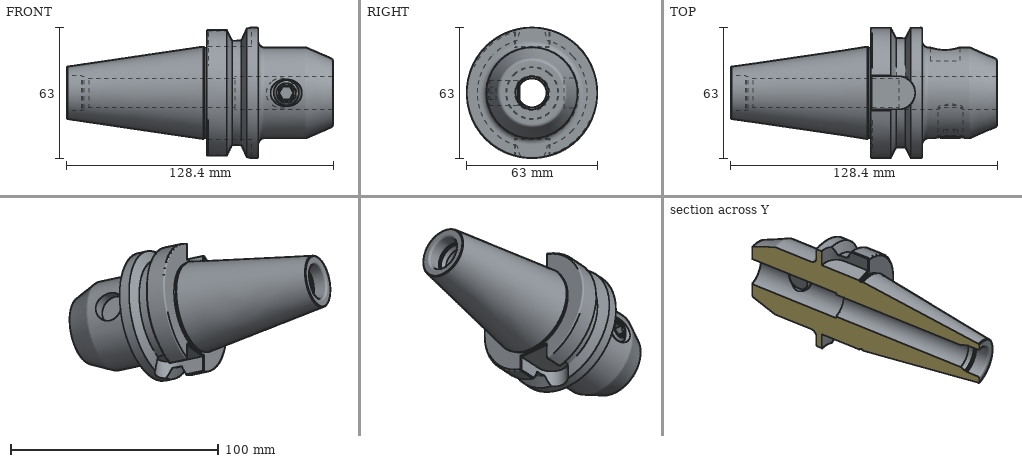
import cadquery as cq
import math


TAPER_END_RADIUS = 12.7
TAPER_BIG_RADIUS = 22.3
TAPER_LENGTH = 65.7
TAPER_EDGE_CHAMFER = 0.4

NECK_RADIUS = 21.8
NECK_SLOPE_LENGTH = 0.8

FLANGE_DIAMETER = 63.0
FLANGE_RADIUS = FLANGE_DIAMETER / 2
FLANGE_START = 67.4
FLANGE_END = 92.3
FLANGE_EDGE_ROUND = 0.8
GROOVE_CENTRE = 81.9
GROOVE_RADIUS = 26.5
GROOVE_HALF_MOUTH = 4.9
GROOVE_HALF_FLOOR = 2.3
GROOVE_CORNER_ROUND = 0.4

SLOT_WIDTH = 16.0
SLOT_FLOOR = 22.5
SLOT_END = 88.9
SLOT_CHAMFER = 0.5

NOSE_RADIUS = 22.0
NOSE_END = 128.4
NOSE_FILLET = 3.0
NOSE_CONE_START = 115.3
NOSE_CONE_ANGLE = 23.4
NOSE_EDGE_ROUND = 1.8

PILOT_RADIUS = 8.5
PILOT_DEPTH = 6.9
PILOT_MOUTH_ROUND = 1.2
LAND_RADIUS = 8.1
LAND_START = 7.5
LAND_END = 8.2
FUNNEL_RADIUS = 7.6
FUNNEL_END = 9.5
CORE_RADIUS = 6.9
CORE_START = 10.5
SHANK_BORE_RADIUS = 8.0
SHANK_BORE_DEPTH = 47.5

SCREW_X = 105.8
SCREW_RADIUS = 6.0
SCREW_HEAD_Y = -21.8
SCREW_TIP_Y = -5.9
SCREW_HEAD_CHAMFER = 1.4
SCREW_TIP_CHAMFER = 1.0
COUNTERSINK_BOTTOM_Y = SCREW_HEAD_Y + SCREW_HEAD_CHAMFER
SOCKET_FLATS = 6.0
SOCKET_DEPTH = 4.4
SOCKET_MOUTH_RADIUS = 3.7

BALANCE_X = 103.2
BALANCE_RADIUS = 7.2
BALANCE_FLOOR_Y = 15.4

EDGE_MARGIN = 0.1


def turned(points):
    """Solid of revolution about the X axis from (x, radius) points."""
    return cq.Workplane("XZ").polyline(points).close().revolve(360, (0, 0, 0), (1, 0, 0))


def cone_x(start, start_radius, end, end_radius):
    """Cone along X, with the first radius at start and the second at end."""
    return turned([(start, 0), (start, start_radius), (end, end_radius), (end, 0)])


def cylinder_x(radius, start, end):
    return cone_x(start, radius, end, radius)


def cylinder_y(radius, x, start, end):
    """Cylinder along Y from start up to end."""
    return cq.Workplane("XZ", origin=(x, end, 0)).circle(radius).extrude(end - start)


def cone_y(x, start, start_radius, end, end_radius):
    """Cone along +Y, with the first radius at start and the second at end."""
    cone = cq.Solid.makeCone(
        start_radius, end_radius, end - start, cq.Vector(x, start, 0), cq.Vector(0, 1, 0)
    )
    return cq.Workplane(cone)


def circles_between(body, start, end):
    """Circular edges centred on the X axis, from start to end inclusive."""
    low = (start - EDGE_MARGIN, -EDGE_MARGIN, -EDGE_MARGIN)
    high = (end + EDGE_MARGIN, EDGE_MARGIN, EDGE_MARGIN)
    near_axis = cq.selectors.BoxSelector(low, high)
    return body.edges("%CIRCLE").edges(near_axis)


def make_shank():
    """Taper and relief neck, running up to the flange."""
    return turned(
        [
            (0, 0),
            (0, TAPER_END_RADIUS - TAPER_EDGE_CHAMFER),
            (TAPER_EDGE_CHAMFER, TAPER_END_RADIUS),
            (TAPER_LENGTH, TAPER_BIG_RADIUS),
            (TAPER_LENGTH + NECK_SLOPE_LENGTH, NECK_RADIUS),
            (FLANGE_START, NECK_RADIUS),
            (FLANGE_START, 0),
        ]
    )


def make_drive_slot(side):
    """Cutter for a round-ended slot; side is +1 for +Z and -1 for -Z."""
    half = SLOT_WIDTH / 2
    return (
        cq.Workplane("XY", origin=(0, 0, side * SLOT_FLOOR))
        .moveTo(FLANGE_START, -half)
        .lineTo(SLOT_END - half, -half)
        .threePointArc((SLOT_END, 0), (SLOT_END - half, half))
        .lineTo(FLANGE_START, half)
        .close()
        .extrude(side * (FLANGE_RADIUS - SLOT_FLOOR))
    )


def make_flange():
    """Grooved flange with two drive slots whose entry edges are chamfered."""
    floor_start = GROOVE_CENTRE - GROOVE_HALF_FLOOR
    floor_end = GROOVE_CENTRE + GROOVE_HALF_FLOOR
    groove = turned(
        [
            (GROOVE_CENTRE - GROOVE_HALF_MOUTH, FLANGE_RADIUS),
            (floor_start, GROOVE_RADIUS),
            (floor_end, GROOVE_RADIUS),
            (GROOVE_CENTRE + GROOVE_HALF_MOUTH, FLANGE_RADIUS),
        ]
    )
    disc = cylinder_x(FLANGE_RADIUS, FLANGE_START, FLANGE_END)
    flange = disc.edges("%CIRCLE").fillet(FLANGE_EDGE_ROUND).cut(groove)
    flange = circles_between(flange, floor_start, floor_end).fillet(GROOVE_CORNER_ROUND)
    for side in (1, -1):
        flange = flange.cut(make_drive_slot(side))
    return flange.faces("<X").edges("%LINE").chamfer(SLOT_CHAMFER)


def make_nose():
    """Barrel, blended into a cone with a rounded end."""
    cone_length = NOSE_END - NOSE_CONE_START
    end_radius = NOSE_RADIUS - cone_length * math.tan(math.radians(NOSE_CONE_ANGLE))
    nose = turned(
        [
            (FLANGE_END, 0),
            (FLANGE_END, NOSE_RADIUS),
            (NOSE_CONE_START, NOSE_RADIUS),
            (NOSE_END, end_radius),
            (NOSE_END, 0),
        ]
    )
    return circles_between(nose, NOSE_CONE_START, NOSE_END).fillet(NOSE_EDGE_ROUND)


def make_nose_fillet():
    """Ring with a concave face between the flange and the barrel."""
    return (
        cq.Workplane("XZ")
        .moveTo(FLANGE_END, NOSE_RADIUS)
        .lineTo(FLANGE_END, NOSE_RADIUS + NOSE_FILLET)
        .radiusArc((FLANGE_END + NOSE_FILLET, NOSE_RADIUS), -NOSE_FILLET)
        .close()
        .revolve(360, (0, 0, 0), (1, 0, 0))
    )


def make_pilot_mouth():
    """Cutter that rounds the mouth of the pilot bore."""
    return (
        cq.Workplane("XZ")
        .lineTo(0, PILOT_RADIUS + PILOT_MOUTH_ROUND)
        .radiusArc((PILOT_MOUTH_ROUND, PILOT_RADIUS), -PILOT_MOUTH_ROUND)
        .lineTo(PILOT_MOUTH_ROUND, 0)
        .close()
        .revolve(360, (0, 0, 0), (1, 0, 0))
    )


def make_axial_bores():
    """Cutter for the bore that narrows in steps, runs through and widens in the nose."""
    shank_bore_start = NOSE_END - SHANK_BORE_DEPTH
    bore = turned(
        [
            (0, 0),
            (0, PILOT_RADIUS),
            (PILOT_DEPTH, PILOT_RADIUS),
            (LAND_START, LAND_RADIUS),
            (LAND_END, LAND_RADIUS),
            (FUNNEL_END, FUNNEL_RADIUS),
            (CORE_START, CORE_RADIUS),
            (shank_bore_start, CORE_RADIUS),
            (shank_bore_start, SHANK_BORE_RADIUS),
            (NOSE_END, SHANK_BORE_RADIUS),
            (NOSE_END, 0),
        ]
    )
    return bore.union(make_pilot_mouth())


def make_screw_hole():
    """Cutter for the countersunk cross hole, from the barrel surface to the axis."""
    hole = cylinder_y(SCREW_RADIUS, SCREW_X, -NOSE_RADIUS, 0)
    mouth_radius = SCREW_RADIUS + COUNTERSINK_BOTTOM_Y + NOSE_RADIUS
    countersink = cone_y(SCREW_X, -NOSE_RADIUS, mouth_radius, COUNTERSINK_BOTTOM_Y, SCREW_RADIUS)
    return hole.union(countersink)


def make_holder():
    holder = make_shank().union(make_flange()).union(make_nose()).union(make_nose_fillet())
    holder = holder.cut(make_axial_bores())
    holder = holder.cut(make_screw_hole())
    return holder.cut(cylinder_y(BALANCE_RADIUS, BALANCE_X, BALANCE_FLOOR_Y, NOSE_RADIUS))


def make_screw():
    """Set screw with a hexagon socket in its outer end and a flat tip."""
    body = cylinder_y(SCREW_RADIUS, SCREW_X, SCREW_HEAD_Y, SCREW_TIP_Y)
    body = body.faces("<Y").chamfer(SCREW_HEAD_CHAMFER)
    body = body.faces(">Y").chamfer(SCREW_TIP_CHAMFER)
    corner_diameter = SOCKET_FLATS / math.cos(math.pi / 6)
    socket = (
        cq.Workplane("XZ", origin=(SCREW_X, SCREW_HEAD_Y + SOCKET_DEPTH, 0))
        .polygon(6, corner_diameter)
        .extrude(SOCKET_DEPTH)
    )
    socket_mouth = cone_y(SCREW_X, SCREW_HEAD_Y, SOCKET_MOUTH_RADIUS, SCREW_HEAD_Y + SOCKET_MOUTH_RADIUS, 0)
    return body.cut(socket).cut(socket_mouth)


holder = make_holder()
screw = make_screw()
result = cq.Compound.makeCompound([holder.val(), screw.val()])